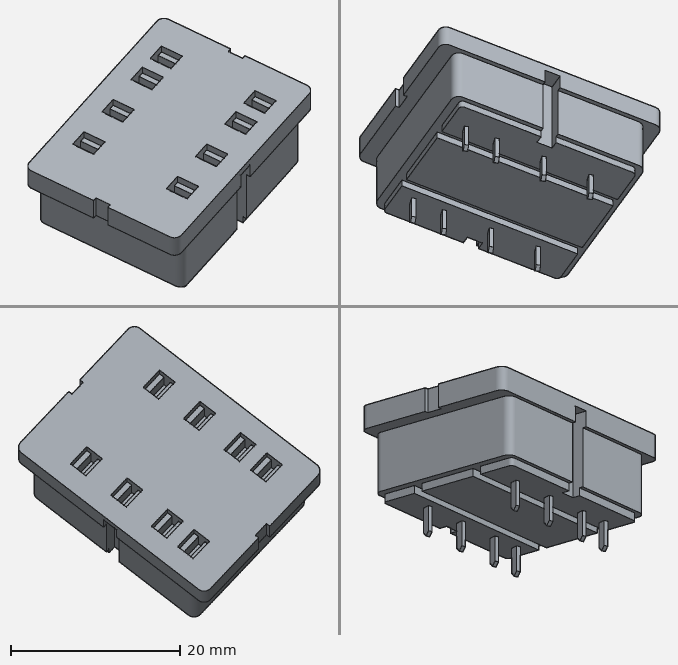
import cadquery as cq

FLANGE_X = 21.5
FLANGE_Y = 29.5
FLANGE_HEIGHT = 3.0
CORNER_RADIUS = 1.0

STEP = 0.5
BLOCK_X = FLANGE_X - 2 * STEP
BLOCK_Y = 25.52
BLOCK_HEIGHT = 7.5

BASE_END_STEP = 2 * STEP
BASE_X = BLOCK_X - 2 * STEP
BASE_Y = BLOCK_Y - 2 * BASE_END_STEP
BASE_HEIGHT = 1.0
BASE_CORNER_RADIUS = CORNER_RADIUS - STEP
CHANNEL_WIDTH = 1.15
CHANNEL_X = 4.42

BLOCK_BOTTOM = BASE_HEIGHT
FLANGE_BOTTOM = BLOCK_BOTTOM + BLOCK_HEIGHT
HOUSING_TOP = FLANGE_BOTTOM + FLANGE_HEIGHT

SIDE_CUT_WIDTH = 2.0
GROOVE_DEPTH = 2.0
GROOVE_TOP_GAP = 1.0
NOTCH_DEPTH = STEP

COLUMN_X = 6.6
COLUMNS = (-COLUMN_X, COLUMN_X)
ROWS = (9.45, 5.35, -0.95, -7.23)
CONTACTS = [(x, y) for x in COLUMNS for y in ROWS]

SLOT_X = 2.95
SLOT_MOUTH_Y = 2.4
SLOT_MOUTH_DEPTH = 1.0
SLOT_THROAT_Y = 1.0
SLOT_DEPTH = FLANGE_HEIGHT

PIN_WIDTH = 1.03
PIN_THICKNESS = 0.53
PIN_LENGTH = 3.7
PIN_TIP_HEIGHT = PIN_WIDTH / 2
PIN_TURN = -15.0


def rounded_slab(size_x, size_y, height, radius, bottom):
    """Slab with rounded vertical corners, centred on the Z axis."""
    slab = cq.Workplane("XY").workplane(offset=bottom).rect(size_x, size_y).extrude(height)
    return slab.edges("|Z").fillet(radius)


def blocks_down(centres, size_x, size_y, top, depth):
    """Equal rectangular blocks that hang down from the height `top`."""
    plane = cq.Workplane("XY").workplane(offset=top)
    return plane.pushPoints(centres).rect(size_x, size_y).extrude(-depth)


def make_housing():
    flange = rounded_slab(FLANGE_X, FLANGE_Y, FLANGE_HEIGHT, CORNER_RADIUS, FLANGE_BOTTOM)
    block = rounded_slab(BLOCK_X, BLOCK_Y, BLOCK_HEIGHT, CORNER_RADIUS, BLOCK_BOTTOM)
    base = rounded_slab(BASE_X, BASE_Y, BASE_HEIGHT, BASE_CORNER_RADIUS, 0)

    channel_centres = [(-CHANNEL_X, 0), (CHANNEL_X, 0)]
    base = base.cut(blocks_down(channel_centres, CHANNEL_WIDTH, BASE_Y, BASE_HEIGHT, BASE_HEIGHT))
    body = flange.union(block).union(base)

    groove_top = HOUSING_TOP - GROOVE_TOP_GAP
    groove_centres = [(-FLANGE_X / 2, 0), (FLANGE_X / 2, 0)]
    body = body.cut(blocks_down(groove_centres, 2 * GROOVE_DEPTH, SIDE_CUT_WIDTH, groove_top, groove_top))

    notch_centres = [(0, -FLANGE_Y / 2), (0, FLANGE_Y / 2)]
    body = body.cut(blocks_down(notch_centres, SIDE_CUT_WIDTH, 2 * NOTCH_DEPTH, HOUSING_TOP, FLANGE_HEIGHT))

    body = body.cut(blocks_down(CONTACTS, SLOT_X, SLOT_MOUTH_Y, HOUSING_TOP, SLOT_MOUTH_DEPTH))
    return body.cut(blocks_down(CONTACTS, SLOT_X, SLOT_THROAT_Y, HOUSING_TOP, SLOT_DEPTH))


def make_pin(x, y):
    """Flat pin with a chisel tip, hanging from the bottom of the base plate."""
    half_width = PIN_WIDTH / 2
    shoulder_z = PIN_TIP_HEIGHT - PIN_LENGTH
    outline = [
        (-half_width, 0),
        (half_width, 0),
        (half_width, shoulder_z),
        (0, -PIN_LENGTH),
        (-half_width, shoulder_z),
    ]
    pin = cq.Workplane("XZ").polyline(outline).close().extrude(PIN_THICKNESS / 2, both=True)
    return pin.rotate((0, 0, 0), (0, 0, 1), PIN_TURN).translate((x, y, 0))


housing = make_housing()
pins = [make_pin(x, y) for x, y in CONTACTS]

result = cq.Compound.makeCompound([housing.val(), *[pin.val() for pin in pins]])